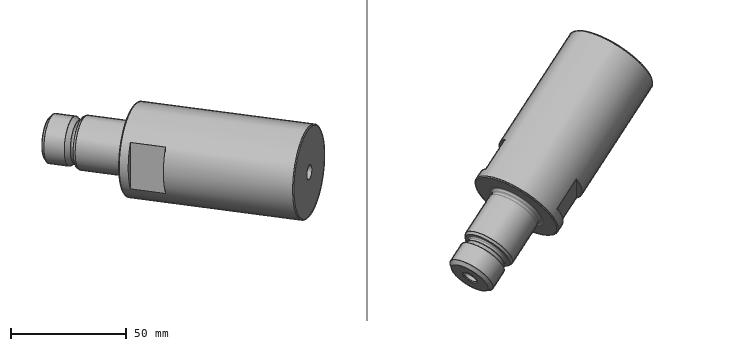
import cadquery as cq
import math

total_length = 119.0
nose_end = 10.8
neck_start = 13.1
shoulder_start = 15.0
flange_start = 38.9

body_radius = 21.0
nose_radius = 11.0
shaft_radius = 12.0
neck_radius = 9.2
bore_radius = 3.3

body_chamfer = 0.5
nose_chamfer_length = 1.5
nose_chamfer_depth = 1.7
shoulder_chamfer_length = 1.2
shoulder_chamfer_depth = 0.7
bore_chamfer = 0.5

neck_fillet = 0.6
neck_taper_drop = 1.4

relief_start = 36.3
relief_taper_length = 1.4
relief_depth = 0.2
relief_outer_radius = 13.8
relief_face_depth = 0.2
relief_fillet = 1.0

flat_start = 43.4
flat_length = 16.1
flat_distance = 18.0


def make_turned_body():
    """Revolve the stepped half profile about the X axis."""
    arc_offset = 1 - math.sqrt(0.5)
    neck_floor_end = shoulder_start - neck_fillet
    neck_taper_radius = nose_radius - neck_taper_drop
    neck_corner = neck_taper_radius - neck_radius
    relief_radius = shaft_radius - relief_depth
    relief_bottom = flange_start + relief_face_depth
    profile = (
        cq.Workplane("XY")
        .moveTo(0, 0)
        .lineTo(0, nose_radius - nose_chamfer_depth)
        .lineTo(nose_chamfer_length, nose_radius)
        .lineTo(nose_end, nose_radius)
        .lineTo(neck_start, neck_taper_radius)
        .threePointArc(
            (neck_start + neck_corner * arc_offset, neck_radius + neck_corner * arc_offset),
            (neck_start + neck_corner, neck_radius),
        )
        .lineTo(neck_floor_end, neck_radius)
        .threePointArc(
            (shoulder_start - neck_fillet * arc_offset, neck_radius + neck_fillet * arc_offset),
            (shoulder_start, neck_radius + neck_fillet),
        )
        .lineTo(shoulder_start, shaft_radius - shoulder_chamfer_depth)
        .lineTo(shoulder_start + shoulder_chamfer_length, shaft_radius)
        .lineTo(relief_start, shaft_radius)
        .lineTo(relief_start + relief_taper_length, relief_radius)
        .lineTo(relief_bottom - relief_fillet, relief_radius)
        .threePointArc(
            (relief_bottom - relief_fillet * arc_offset, relief_radius + relief_fillet * arc_offset),
            (relief_bottom, relief_radius + relief_fillet),
        )
        .lineTo(flange_start, relief_outer_radius)
        .lineTo(flange_start, body_radius - body_chamfer)
        .lineTo(flange_start + body_chamfer, body_radius)
        .lineTo(total_length - body_chamfer, body_radius)
        .lineTo(total_length, body_radius - body_chamfer)
        .lineTo(total_length, 0)
        .close()
    )
    return profile.revolve(360, (0, 0, 0), (1, 0, 0))


def make_bore():
    """Through bore with a chamfered mouth at the spigot tip."""
    profile = (
        cq.Workplane("XY")
        .moveTo(0, 0)
        .lineTo(0, bore_radius + bore_chamfer)
        .lineTo(bore_chamfer, bore_radius)
        .lineTo(total_length, bore_radius)
        .lineTo(total_length, 0)
        .close()
    )
    return profile.revolve(360, (0, 0, 0), (1, 0, 0))


def make_flat_cutter(side):
    """Block that leaves a flat on the given Y side (+1 or -1)."""
    depth = body_radius
    return cq.Workplane("XY").box(flat_length, depth, 2 * body_radius).translate(
        (flat_start + flat_length / 2, side * (flat_distance + depth / 2), 0)
    )


result = make_turned_body().cut(make_bore())
for side in (1, -1):
    result = result.cut(make_flat_cutter(side))